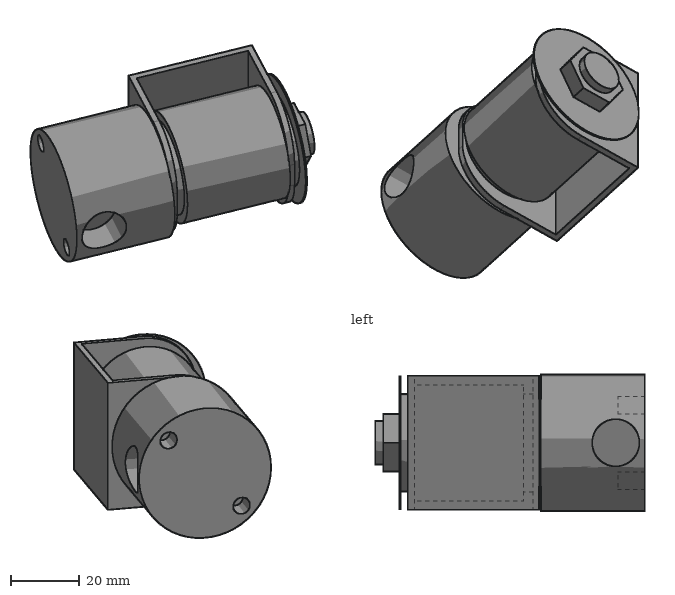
import cadquery as cq

TOTAL_LENGTH = 78.9
VALVE_LENGTH = 30.5
NECK_LENGTH = 0.5
BRACKET_LENGTH = 38.4
FLANGE_THICKNESS = 2.0
WASHER_THICKNESS = 0.5
NUT_THICKNESS = 4.7
LOWER_COLLAR_LENGTH = 2.7

VALVE_DIAMETER = 40.0
NECK_DIAMETER = 25.6
COLLAR_DIAMETER = 28.65
COIL_DIAMETER = 34.0
WASHER_DIAMETER = 39.0
STEM_DIAMETER = 12.8
NUT_ACROSS_CORNERS = 19.6

OVERALL_WIDTH = 41.1
BRACKET_SHEET = 1.9
BRACKET_HEIGHT = 39.2
BRACKET_BACK = OVERALL_WIDTH - VALVE_DIAMETER / 2
BRACKET_REACH = 15.5

PORT_DIAMETER = 13.8
PORT_DEPTH = 9.5
PORT_FROM_FACE = 8.5
MOUNT_HOLE_DIAMETER = 5.05
MOUNT_HOLE_DEPTH = 7.9
MOUNT_HOLE_OFFSET = 11.05

BRACKET_START = VALVE_LENGTH + NECK_LENGTH
BRACKET_END = BRACKET_START + BRACKET_LENGTH
COLLAR_START = BRACKET_START + BRACKET_SHEET
COIL_START = COLLAR_START + LOWER_COLLAR_LENGTH
COIL_END = BRACKET_END - BRACKET_SHEET
WASHER_START = BRACKET_END + FLANGE_THICKNESS
NUT_START = WASHER_START + WASHER_THICKNESS
STEM_START = NUT_START + NUT_THICKNESS


def section_plane(y):
    """XZ plane at station y, extruding toward +Y, with local x = X and local y = -Z."""
    return cq.Workplane(cq.Plane(origin=(0, y, 0), xDir=(1, 0, 0), normal=(0, 1, 0)))


def disc(diameter, start, end):
    return section_plane(start).circle(diameter / 2).extrude(end - start)


def make_valve():
    """Round valve block with its neck, two side ports and two mounting holes."""
    valve = disc(VALVE_DIAMETER, 0, VALVE_LENGTH)
    valve = valve.union(disc(NECK_DIAMETER, VALVE_LENGTH, BRACKET_START))
    for side in (-1, 1):
        port = (
            cq.Workplane("YZ", origin=(side * VALVE_DIAMETER / 2, 0, 0))
            .center(PORT_FROM_FACE, 0)
            .circle(PORT_DIAMETER / 2)
            .extrude(-side * PORT_DEPTH)
        )
        mount_hole = (
            section_plane(0)
            .center(side * MOUNT_HOLE_OFFSET, side * MOUNT_HOLE_OFFSET)
            .circle(MOUNT_HOLE_DIAMETER / 2)
            .extrude(MOUNT_HOLE_DEPTH)
        )
        valve = valve.cut(port).cut(mount_hole)
    return valve


def make_bracket():
    """U-shaped sheet with a large corner radius on each side of the leg tips."""
    half_height = BRACKET_HEIGHT / 2
    tip_z = half_height - BRACKET_REACH
    outline = (
        section_plane(BRACKET_START)
        .moveTo(-BRACKET_BACK, -half_height)
        .lineTo(0, -half_height)
        .tangentArcPoint((BRACKET_REACH, -tip_z), relative=False)
        .lineTo(BRACKET_REACH, tip_z)
        .tangentArcPoint((0, half_height), relative=False)
        .lineTo(-BRACKET_BACK, half_height)
        .close()
        .extrude(BRACKET_LENGTH)
    )
    opening_width = BRACKET_BACK + BRACKET_REACH
    opening = (
        cq.Workplane("XY")
        .box(opening_width, COIL_END - COLLAR_START, BRACKET_HEIGHT, centered=(False, False, True))
        .translate((BRACKET_SHEET - BRACKET_BACK, COLLAR_START, 0))
    )
    return outline.cut(opening)


def make_actuator():
    """Coil in its bracket, closed by a flange, washer, hexagon nut and stem end."""
    nut = (
        section_plane(NUT_START)
        .polygon(6, NUT_ACROSS_CORNERS)
        .extrude(NUT_THICKNESS)
    )
    return (
        make_bracket()
        .union(disc(COLLAR_DIAMETER, COLLAR_START, COIL_START))
        .union(disc(COIL_DIAMETER, COIL_START, COIL_END))
        .union(disc(COLLAR_DIAMETER, BRACKET_END, WASHER_START))
        .union(disc(WASHER_DIAMETER, WASHER_START, NUT_START))
        .union(nut)
        .union(disc(STEM_DIAMETER, STEM_START, TOTAL_LENGTH))
    )


valve = make_valve()
actuator = make_actuator()
result = cq.Compound.makeCompound([valve.val(), actuator.val()])